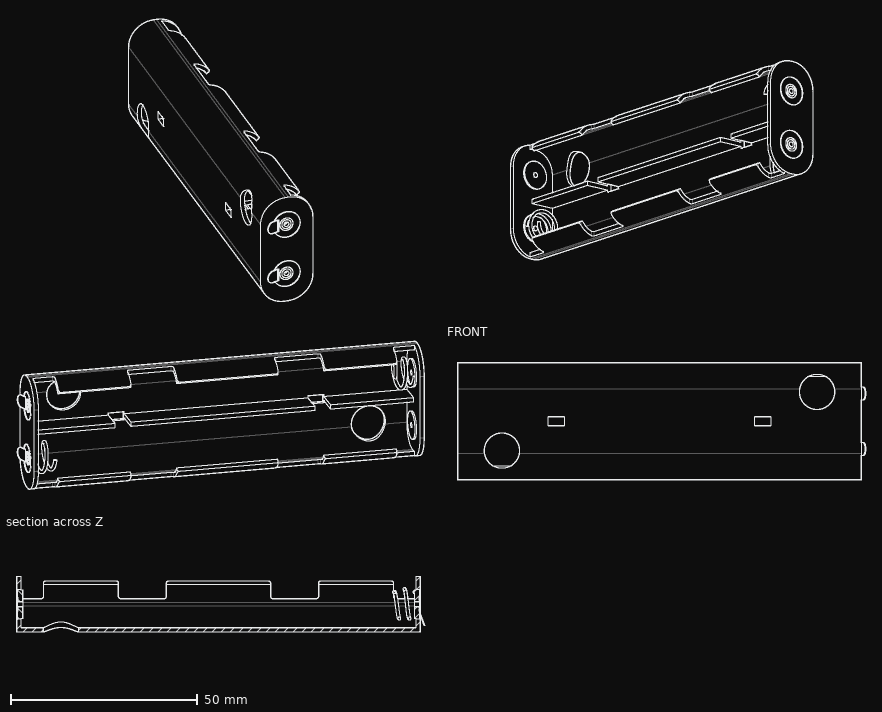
import cadquery as cq
import math

LENGTH = 108.4
DEPTH = 14.9
HEIGHT = 31.5
CORNER_RADIUS = 7.0
WALL = 1.2
FLAT_HALF = DEPTH / 2 - CORNER_RADIUS
ARC_CENTRE_Z = HEIGHT / 2 - CORNER_RADIUS

TAB_TOP_Y = 6.2
TAB_FOOT_Y = 1.5
TAB_CORNER_RADIUS = 0.5
MIDDLE_TAB_LENGTH = 28.1
OUTER_TAB_LENGTH = 20.2
OUTER_TAB_OFFSET = 36.9

RIB_THICKNESS = 1.2
RIB_TOP_Y = 0.9

HOLE_DIAMETER = 9.4
HOLE_OFFSET_X = 42.3
HOLE_OFFSET_Z = 7.9
SLOT_LENGTH = 4.4
SLOT_HEIGHT = 2.3
SLOT_OFFSET_X = 27.7

CELL_AXIS_Z = 7.5
DISC_RADIUS = 3.8
DISC_RECESS = 0.2
DISC_PROUD = 0.4
BORE_RADIUS = 0.7
GROOVE_OUTER_RADIUS = 1.9
GROOVE_INNER_RADIUS = 1.3
GROOVE_DEPTH = 0.1

WIRE_DIAMETER = 0.9
SPRING_END_RADIUS = 3.3
SPRING_SINK = 0.1
SPRING_BULGE = 0.8
SPRING_PITCH = 2.7
SPRING_TURNS = 2
POINTS_PER_TURN = 12

OVERALL_LENGTH = 109.6
TAG_REACH = OVERALL_LENGTH - LENGTH
TAG_WIDTH = 3.5
TAG_THICKNESS = 0.2
TAG_SINK = 0.1
TAG_TILT = 21.0
TAG_ROOT_Y = -2.3


def rounded_prism(length, inset):
    """Prism along X with the housing section, shrunk by an inset on every side."""
    return (
        cq.Workplane("YZ")
        .rect(DEPTH - 2 * inset, HEIGHT - 2 * inset)
        .extrude(length / 2, both=True)
        .edges("|X")
        .fillet(CORNER_RADIUS - inset)
    )


def box_between(x_range, y_range, z_range):
    """Box that fills the given ranges."""
    size = [high - low for low, high in (x_range, y_range, z_range)]
    centre = [(high + low) / 2 for low, high in (x_range, y_range, z_range)]
    return cq.Workplane("XY").box(*size).translate(tuple(centre))


def tab_comb():
    """Plate with the side outline of the tray: a low edge with three rounded tabs."""
    comb = box_between((-LENGTH / 2, LENGTH / 2), (-DEPTH / 2, TAB_FOOT_Y), (-HEIGHT / 2, HEIGHT / 2))
    tabs = [
        (-OUTER_TAB_OFFSET, OUTER_TAB_LENGTH),
        (0, MIDDLE_TAB_LENGTH),
        (OUTER_TAB_OFFSET, OUTER_TAB_LENGTH),
    ]
    for centre_x, length in tabs:
        tab = box_between(
            (centre_x - length / 2, centre_x + length / 2), (0, TAB_TOP_Y), (-HEIGHT / 2, HEIGHT / 2)
        )
        comb = comb.union(tab)
    tab_zone = cq.selectors.BoxSelector(
        (-LENGTH / 2 + WALL, 0, -HEIGHT), (LENGTH / 2 - WALL, DEPTH / 2, HEIGHT)
    )
    return comb.edges("|Z").edges(tab_zone).fillet(TAB_CORNER_RADIUS)


def lip_opening():
    """Mouth of the tray, its sides radial to the corner arcs so the tab lips are square to the wall."""
    reach = 2
    rise_y = TAB_TOP_Y - FLAT_HALF
    rise_z = math.sqrt(CORNER_RADIUS**2 - rise_y**2)
    mouth_y = FLAT_HALF + reach * rise_y
    mouth_z = ARC_CENTRE_Z + reach * rise_z
    return (
        cq.Workplane("YZ")
        .polyline(
            [
                (FLAT_HALF, -ARC_CENTRE_Z),
                (mouth_y, -mouth_z),
                (mouth_y, mouth_z),
                (FLAT_HALF, ARC_CENTRE_Z),
            ]
        )
        .close()
        .extrude(LENGTH / 2 - WALL, both=True)
    )


def front_cutter(points):
    """Workplane on the -Y side, ready to cut inwards at the given X, Z points."""
    return cq.Workplane("XZ", origin=(0, -DEPTH / 2, 0)).pushPoints(points)


def make_housing():
    """Tray with end walls, rib, front openings and the seats of the contact discs."""
    outside = rounded_prism(LENGTH, 0)
    cavity = rounded_prism(LENGTH - 2 * WALL, WALL)
    shell = outside.cut(cavity)
    trough = shell.intersect(tab_comb()).cut(lip_opening())

    end_zone = box_between(
        (-LENGTH / 2 + WALL, LENGTH / 2 - WALL), (-DEPTH, DEPTH), (-HEIGHT, HEIGHT)
    )
    end_walls = outside.cut(end_zone)
    rib = box_between(
        (-LENGTH / 2 + WALL, LENGTH / 2 - WALL),
        (-DEPTH / 2 + WALL, RIB_TOP_Y),
        (-RIB_THICKNESS / 2, RIB_THICKNESS / 2),
    )
    housing = trough.union(end_walls).union(rib)

    holes = front_cutter([(-HOLE_OFFSET_X, -HOLE_OFFSET_Z), (HOLE_OFFSET_X, HOLE_OFFSET_Z)])
    housing = housing.cut(holes.circle(HOLE_DIAMETER / 2).extrude(-DEPTH / 2))
    slots = front_cutter([(-SLOT_OFFSET_X, 0), (SLOT_OFFSET_X, 0)])
    housing = housing.cut(slots.rect(SLOT_LENGTH, SLOT_HEIGHT).extrude(-DEPTH))

    seats = (
        cq.Workplane("YZ")
        .pushPoints([(0, -CELL_AXIS_Z), (0, CELL_AXIS_Z)])
        .circle(DISC_RADIUS)
        .extrude(LENGTH, both=True)
    )
    return housing.cut(seats)


def make_spring():
    """Left-handed spring along +X, its first coil sunk into the inner face of the disc."""
    start_x = WALL + DISC_PROUD - SPRING_SINK
    last = SPRING_TURNS * POINTS_PER_TURN
    points = []
    for i in range(last + 1):
        angle = 2 * math.pi * i / POINTS_PER_TURN
        radius = SPRING_END_RADIUS + SPRING_BULGE * math.sin(math.pi * i / last)
        x = start_x + SPRING_PITCH * i / POINTS_PER_TURN
        points.append(cq.Vector(x, radius * math.cos(angle), -radius * math.sin(angle)))
    centreline = cq.Edge.makeSpline(points)
    section = cq.Plane(origin=points[0], xDir=(0, 1, 0), normal=centreline.tangentAt(0))
    path = cq.Workplane(cq.Wire.assembleEdges([centreline]))
    return cq.Workplane(section).circle(WIRE_DIAMETER / 2).sweep(path, isFrenet=True)


def make_disc():
    """Contact disc on the X axis; the outer face of its end wall lies at X = 0."""
    outer_face = cq.Workplane("YZ", origin=(DISC_RECESS, 0, 0))
    thickness = WALL + DISC_PROUD - DISC_RECESS
    disc = outer_face.circle(DISC_RADIUS).circle(BORE_RADIUS).extrude(thickness)
    groove = outer_face.circle(GROOVE_OUTER_RADIUS).circle(GROOVE_INNER_RADIUS).extrude(GROOVE_DEPTH)
    return disc.cut(groove)


def make_tag():
    """Solder tag leaning out towards -X from the outer face of the disc, rounded at its tip."""
    tilt = math.radians(TAG_TILT)
    rise = TAG_REACH + DISC_RECESS + TAG_SINK - TAG_THICKNESS * math.cos(tilt)
    length = rise / math.sin(tilt)
    half_width = TAG_WIDTH / 2
    return (
        cq.Workplane("YZ")
        .moveTo(0, -half_width)
        .lineTo(half_width - length, -half_width)
        .threePointArc((-length, 0), (half_width - length, half_width))
        .lineTo(0, half_width)
        .close()
        .extrude(-TAG_THICKNESS)
        .rotate((0, 0, 0), (0, 0, 1), -TAG_TILT)
        .translate((DISC_RECESS + TAG_SINK, TAG_ROOT_Y, 0))
    )


def make_contact(has_spring, has_tag):
    """One contact piece facing +X, with or without its spring and solder tag."""
    contact = make_disc()
    if has_spring:
        contact = contact.union(make_spring())
    if has_tag:
        contact = contact.union(make_tag())
    return contact


housing = make_housing()

contacts = []
for z, spring_at_left in ((CELL_AXIS_Z, True), (-CELL_AXIS_Z, False)):
    left = make_contact(has_spring=spring_at_left, has_tag=False).translate((-LENGTH / 2, 0, z))
    right = (
        make_contact(has_spring=not spring_at_left, has_tag=True)
        .rotate((0, 0, 0), (0, 1, 0), 180)
        .translate((LENGTH / 2, 0, z))
    )
    contacts += [left.val(), right.val()]

result = cq.Compound.makeCompound([housing.val(), *contacts])